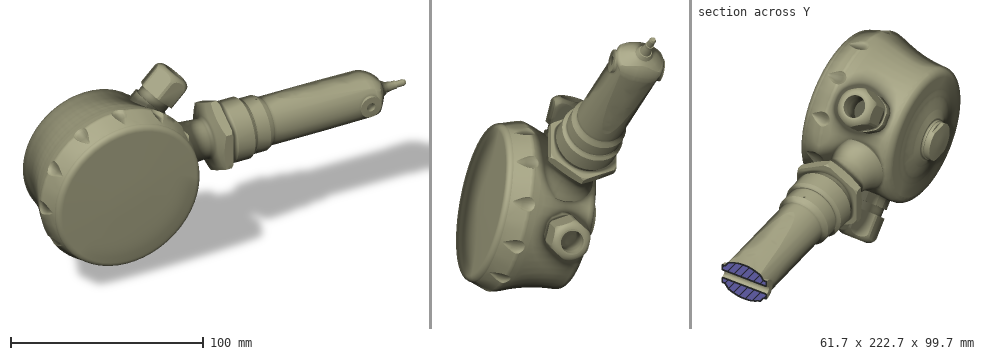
import cadquery as cq
import math


FACE_X = -18.7
FACE_FLAT_R = 33.5
HUB_BLEND_R = 26.0
HUB_CONE_R = 15.8
HUB_CONE_SLOPE = 0.4
HUB_TOP_R = 11.8
HUB_TOP_X = -22.3
BODY_START_X = -14.3
BODY_START_R = 37.6
BODY_WAIST = (0.5, 39.5)
CAP_JOINT_X = 14.7
CAP_JOINT_R = 43.9
RIDGE_X = 19.5
RIDGE_R = 45.2
RIDGE_HALF_WIDTH = 1.3
RIDGE_DROP = 0.27
CAP_TAPER_X = 29.6
CAP_TAPER_R = 42.0
CAP_END_X = 32.7
CAP_END_R = 39.2
CAP_CENTER_X = 33.9

NOTCH_COUNT = 12
NOTCH_RADIUS = 4.7
NOTCH_AXIS_R = 48.1
NOTCH_LENGTH = 11.8
NOTCH_TILT = 28.0

BUTTON_R = 10.2
BUTTON_BASE_R = 10.7
BUTTON_BASE_X = -23.5
BUTTON_EDGE_X = -27.0
BUTTON_CENTER_X = -27.8
BUTTON_FLAT_HALF = 9.1
BUTTON_FLAT_DEPTH = 1.8

OUTLET_X = -2.0
OUTLET_ANGLE = 45.0
COLLAR_ACROSS_FLATS = 19.5
COLLAR_R = 10.2
COLLAR_TOP = 42.8
STEM_R = 9.0
NUT_ACROSS_FLATS = 19.5
NUT_R = 11.0
NUT_BASE = 47.2
NUT_SHOULDER = 58.4
NUT_END = 62.4
NUT_END_R = 7.0
NUT_CROWN = (9.5, 61.0)
OUTLET_HOLE_D = 12.0

FLARE_ROOT_Y, FLARE_ROOT_R = 33.5, 13.4
FLARE_Y, FLARE_R = 37.9, 15.5
FLARE_MID_Y, FLARE_MID_R = 43.2, 13.0
NECK_START_Y, NECK_START_R = 50.3, 11.4
NECK_END_Y, NECK_END_R = 58.8, 10.7
NECK_FILLET_Y, NECK_FILLET_R = 60.0, 11.0
NECK_TOP_Y, NECK_TOP_R = 60.8, 12.0
HEX_ACROSS_FLATS = 36.0
HEX_TRIM_R = 21.0
HEX_SHOULDER_Y = 64.1
HEX_TOP_Y = 68.4
HEX_TOP_CHAMFER = 1.1
SLEEVE_R = 30.0 / 2
RING_R = 16.7
RING_START_Y = 72.2
RING_END_Y = 81.7
RING_CHAMFER = 1.8
GROOVE_START_Y = 83.5
GROOVE_WIDTH = 0.7
GROOVE_DEPTH = 0.5
SLEEVE_END_Y = 91.8
PIN_HOLE_D = 1.25
PIN_HOLE_Y = 90.9
PIN_HOLE_DEPTH = 1.1

HANDLE_R = 13.1
HANDLE_START_Y = 95.0
HANDLE_ROUND_Y = 155.0
HANDLE_CORNER = (13.0, 157.3)
HANDLE_EDGE = (11.4, 158.8)
HANDLE_DOME = (8.2, 161.0)
HANDLE_END = (4.7, 163.0)
CROWN_R = 20.3
TAPER_START_Y = 102.5
TAPER_END_Y = 152.1
TAPER_END_Z = 11.4
NOSE_R = 13.0
EYE_D = 12.0
EYE_HOLE_D = 5.0
EYE_Y = 151.0
EYE_HALF_WIDTH = 13.5

OVERALL_LENGTH = 222.7
TIP_END_R = 1.25
TIP_PROFILE = [
    HANDLE_END,
    (3.5, 165.3),
    (3.0, 165.3),
    (2.2, 170.6),
    (2.2, 172.0),
    (1.8, 172.0),
    (1.8, 176.5),
]


def hexagon(across_flats, height):
    """Hexagonal bar along Z with two of its faces looking along X."""
    corner_to_corner = across_flats / math.cos(math.pi / 6)
    bar = cq.Workplane("XY").polygon(6, corner_to_corner).extrude(height)
    return bar.rotate((0, 0, 0), (0, 0, 1), 30)


def drum():
    cone_x = HUB_TOP_X + HUB_CONE_SLOPE * (HUB_CONE_R - HUB_TOP_R)
    blend_mid = (FACE_X + (cone_x - FACE_X) / 4, (HUB_CONE_R + HUB_BLEND_R) / 2)
    corner = math.sin(math.pi / 4)
    corner_mid = (
        BODY_START_X - (BODY_START_X - FACE_X) * corner,
        FACE_FLAT_R + (BODY_START_R - FACE_FLAT_R) * corner,
    )
    cap_round_mid = (
        CAP_TAPER_X + (CAP_END_X - CAP_TAPER_X) * corner,
        CAP_END_R + (CAP_TAPER_R - CAP_END_R) * corner,
    )
    profile = (
        cq.Workplane("XY")
        .moveTo(HUB_TOP_X, 0)
        .lineTo(HUB_TOP_X, HUB_TOP_R)
        .lineTo(cone_x, HUB_CONE_R)
        .threePointArc(blend_mid, (FACE_X, HUB_BLEND_R))
        .lineTo(FACE_X, FACE_FLAT_R)
        .threePointArc(corner_mid, (BODY_START_X, BODY_START_R))
        .threePointArc(BODY_WAIST, (CAP_JOINT_X, CAP_JOINT_R))
        .lineTo(RIDGE_X - RIDGE_HALF_WIDTH, RIDGE_R - RIDGE_DROP)
        .threePointArc((RIDGE_X, RIDGE_R), (RIDGE_X + RIDGE_HALF_WIDTH, RIDGE_R - RIDGE_DROP))
        .lineTo(CAP_TAPER_X, CAP_TAPER_R)
        .threePointArc(cap_round_mid, (CAP_END_X, CAP_END_R))
        .lineTo(CAP_CENTER_X, 0)
        .close()
    )
    return profile.revolve(360, (0, 0, 0), (1, 0, 0))


def notch_cutters():
    """Teardrop of revolution, repeated round the cap."""
    teardrop = (
        cq.Workplane("XY")
        .spline(
            [(-NOTCH_RADIUS, 0), (0, NOTCH_RADIUS), (NOTCH_LENGTH, 0)],
            tangents=[(0, 1), (1, 0), (2, -1)],
        )
        .close()
        .revolve(360, (0, 0, 0), (1, 0, 0))
        .rotate((0, 0, 0), (0, 0, 1), -NOTCH_TILT)
        .translate((RIDGE_X, NOTCH_AXIS_R, 0))
    )
    step = 360 / NOTCH_COUNT
    return [teardrop.rotate((0, 0, 0), (1, 0, 0), i * step) for i in range(NOTCH_COUNT)]


def button():
    body = (
        cq.Workplane("XY")
        .moveTo(HUB_TOP_X, 0)
        .lineTo(HUB_TOP_X, BUTTON_BASE_R)
        .lineTo(BUTTON_BASE_X, BUTTON_BASE_R)
        .lineTo(BUTTON_BASE_X, BUTTON_R)
        .lineTo(BUTTON_EDGE_X, BUTTON_R)
        .lineTo(BUTTON_CENTER_X, 0)
        .close()
        .revolve(360, (0, 0, 0), (1, 0, 0))
    )
    flat_end_x = BUTTON_EDGE_X + BUTTON_FLAT_DEPTH
    waste_size = 2 * BUTTON_R
    for side in (1, -1):
        center_x = flat_end_x - waste_size / 2
        center_z = side * (BUTTON_FLAT_HALF + waste_size / 2)
        waste = cq.Workplane("XY").box(waste_size, waste_size, waste_size)
        body = body.cut(waste.translate((center_x, 0, center_z)))
    return body


def outlet():
    """Outlet along +Z: trimmed hexagon collar, round stem and drilled nut."""
    collar = hexagon(COLLAR_ACROSS_FLATS, COLLAR_TOP)
    collar = collar.intersect(cq.Workplane("XY").circle(COLLAR_R).extrude(COLLAR_TOP))
    stem = cq.Workplane("XY").circle(STEM_R).extrude(NUT_SHOULDER)
    nut_envelope = (
        cq.Workplane("XZ")
        .moveTo(0, NUT_BASE)
        .lineTo(NUT_R, NUT_BASE)
        .lineTo(NUT_R, NUT_SHOULDER)
        .threePointArc(NUT_CROWN, (NUT_END_R, NUT_END))
        .lineTo(0, NUT_END)
        .close()
        .revolve(360, (0, 0, 0), (0, 1, 0))
    )
    nut = hexagon(NUT_ACROSS_FLATS, NUT_END).intersect(nut_envelope)
    hole = cq.Workplane("XY").workplane(offset=NUT_BASE).circle(OUTLET_HOLE_D / 2).extrude(NUT_END)
    return collar.union(stem).union(nut).cut(hole)


def neck_and_sleeve():
    """Turned parts from the drum to the start of the handle."""
    groove_end_y = GROOVE_START_Y + GROOVE_WIDTH
    return (
        cq.Workplane("XY")
        .moveTo(0, 0)
        .lineTo(FLARE_ROOT_R, 0)
        .lineTo(FLARE_ROOT_R, FLARE_ROOT_Y)
        .lineTo(FLARE_R, FLARE_Y)
        .threePointArc((FLARE_MID_R, FLARE_MID_Y), (NECK_START_R, NECK_START_Y))
        .lineTo(NECK_END_R, NECK_END_Y)
        .threePointArc((NECK_FILLET_R, NECK_FILLET_Y), (NECK_TOP_R, NECK_TOP_Y))
        .lineTo(NECK_TOP_R, HEX_TOP_Y)
        .lineTo(SLEEVE_R, HEX_TOP_Y)
        .lineTo(SLEEVE_R, RING_START_Y - RING_CHAMFER)
        .lineTo(RING_R, RING_START_Y)
        .lineTo(RING_R, RING_END_Y)
        .lineTo(SLEEVE_R, RING_END_Y + RING_CHAMFER)
        .lineTo(SLEEVE_R - GROOVE_DEPTH, GROOVE_START_Y)
        .lineTo(SLEEVE_R - GROOVE_DEPTH, groove_end_y)
        .lineTo(SLEEVE_R, groove_end_y)
        .lineTo(SLEEVE_R, SLEEVE_END_Y)
        .lineTo(HANDLE_R, HANDLE_START_Y)
        .lineTo(0, HANDLE_START_Y)
        .close()
        .revolve(360, (0, 0, 0), (0, 1, 0))
    )


def pin_hole():
    """Shallow hole in the top of the sleeve."""
    floor_z = SLEEVE_R - PIN_HOLE_DEPTH
    start = cq.Workplane("XY", origin=(0, PIN_HOLE_Y, floor_z))
    return start.circle(PIN_HOLE_D / 2).extrude(2 * PIN_HOLE_DEPTH)


def hex_nut():
    """Hexagon round the neck with corners pointing up and down."""
    bar = hexagon(HEX_ACROSS_FLATS, HEX_TOP_Y)
    bar = bar.rotate((0, 0, 0), (1, 0, 0), -90)
    envelope = (
        cq.Workplane("XY")
        .moveTo(0, NECK_TOP_Y)
        .lineTo(NECK_TOP_R, NECK_TOP_Y)
        .lineTo(HEX_TRIM_R, HEX_SHOULDER_Y)
        .lineTo(HEX_TRIM_R, HEX_TOP_Y - HEX_TOP_CHAMFER)
        .lineTo(HEX_TRIM_R - HEX_TOP_CHAMFER, HEX_TOP_Y)
        .lineTo(0, HEX_TOP_Y)
        .close()
        .revolve(360, (0, 0, 0), (0, 1, 0))
    )
    return bar.intersect(envelope)


def crown_section(y, crown_z, depth):
    """Circle segment across the handle at y, reaching from crown_z down by depth."""
    floor_z = crown_z - depth
    half_width = math.sqrt(CROWN_R**2 - (CROWN_R - depth) ** 2)
    return (
        cq.Workplane("XZ", origin=(0, y, 0))
        .moveTo(-half_width, floor_z)
        .threePointArc((0, crown_z), (half_width, floor_z))
        .close()
    )


def handle():
    turned = (
        cq.Workplane("XY")
        .moveTo(0, HANDLE_START_Y)
        .lineTo(HANDLE_R, HANDLE_START_Y)
        .lineTo(HANDLE_R, HANDLE_ROUND_Y)
        .threePointArc(HANDLE_CORNER, HANDLE_EDGE)
        .threePointArc(HANDLE_DOME, HANDLE_END)
        .lineTo(0, HANDLE_END[1])
        .close()
        .revolve(360, (0, 0, 0), (0, 1, 0))
    )

    taper_length = TAPER_END_Y - TAPER_START_Y
    slope = (HANDLE_R - TAPER_END_Z) / taper_length
    pivot_z = TAPER_END_Z - NOSE_R
    start_crown_z = HANDLE_R + slope * (TAPER_START_Y - HANDLE_START_Y)
    start = crown_section(HANDLE_START_Y, start_crown_z, CROWN_R)
    end = crown_section(TAPER_END_Y, TAPER_END_Z, CROWN_R)
    tapered = cq.Workplane(cq.Solid.makeLoft([start.wires().val(), end.wires().val()], True))
    nose = crown_section(TAPER_END_Y, TAPER_END_Z, NOSE_R).revolve(90, (0, pivot_z, 0), (-1, pivot_z, 0))
    above = cq.Workplane("XY").rect(OVERALL_LENGTH, 2 * OVERALL_LENGTH).extrude(2 * HANDLE_R)
    upper = turned.intersect(tapered.union(nose)).intersect(above)
    body = upper.union(upper.mirror("XY"))

    eye_axis = cq.Workplane("YZ").center(EYE_Y, 0)
    eye = eye_axis.circle(EYE_D / 2).extrude(EYE_HALF_WIDTH, both=True)
    eye_hole = eye_axis.circle(EYE_HOLE_D / 2).extrude(EYE_HALF_WIDTH, both=True)
    return body.union(eye).cut(eye_hole)


def tip(end_y):
    root_y = EYE_Y + EYE_D / 2
    outline = [(0, root_y), (TIP_PROFILE[0][0], root_y)] + TIP_PROFILE + [(TIP_END_R, end_y), (0, end_y)]
    return cq.Workplane("XY").polyline(outline).close().revolve(360, (0, 0, 0), (0, 1, 0))


result = drum().union(button())
for cutter in notch_cutters():
    result = result.cut(cutter)
tip_end_y = result.val().BoundingBox().ymin + OVERALL_LENGTH

for side in (1, -1):
    turned_down = side * OUTLET_ANGLE - 90
    placed = outlet().rotate((0, 0, 0), (1, 0, 0), turned_down)
    result = result.union(placed.translate((OUTLET_X, 0, 0)))

for section in (neck_and_sleeve().cut(pin_hole()), hex_nut(), handle(), tip(tip_end_y)):
    result = result.union(section)